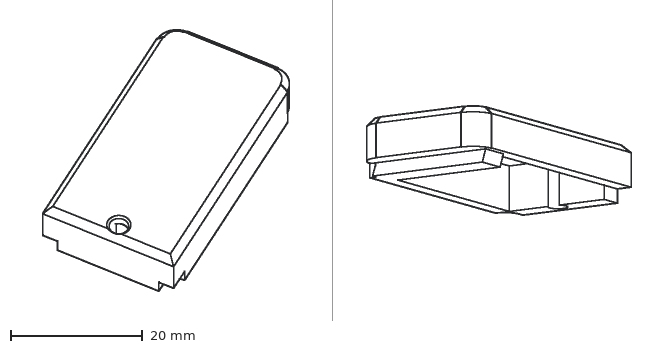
import cadquery as cq

width = 22.4
length = 41.4
height = 8.7

chamfer = 1.15
step_z = 2.2
shell_height = height - step_z
corner_size = 3.45
corner_radius = 3.3
plate_thickness = 1.65

side_margin = 2.53
front_block_length = 3.7
hook_inset = 1.15
hook_front_y = 33.1
hook_rear_y = length - corner_size
hook_lean = 0.9

hole_diameter = 3.0
hole_x = 11.7
hole_y = 2.55
countersink = 0.35


def make_box(x0, x1, y0, y1, z0, z1):
    """Box between two opposite corners."""
    return cq.Workplane("XY").box(x1 - x0, y1 - y0, z1 - z0, centered=False).translate((x0, y0, z0))


def make_shell():
    """Upper block with a chamfered top edge and rounded rear corners."""
    shell = make_box(0, width, 0, length, step_z, height).faces(">Z").edges().chamfer(chamfer)
    round_post = (
        cq.Workplane("XY")
        .circle(corner_radius)
        .extrude(shell_height)
        .faces(">Z")
        .edges()
        .chamfer(chamfer)
    )
    corner_y = length - corner_size
    for corner_x, side_x in ((corner_size, 0), (width - corner_size, width)):
        x0, x1 = sorted((corner_x, side_x))
        corner_square = make_box(x0, x1, corner_y, length, step_z, height)
        corner_round = round_post.translate((corner_x, corner_y, step_z)).intersect(corner_square)
        shell = shell.cut(corner_square).union(corner_round)
    return shell


def make_prism(side_outline, x0, x1):
    """Prism along X between x0 and x1 with a closed outline of (y, z) points."""
    return cq.Workplane("YZ").polyline(side_outline).close().extrude(x1 - x0).translate((x0, 0, 0))


def make_foot():
    """Foot with a leaning rear hook, an inset left side and a hollowed front right corner."""
    foot_outline = [(0, 0), (hook_rear_y + hook_lean, 0), (hook_rear_y, step_z), (0, step_z)]
    foot = make_prism(foot_outline, hook_inset, width - hook_inset)

    right_wall = make_box(width - side_margin, width, 0, hook_rear_y, 0, step_z)
    foot = foot.union(right_wall)

    opening_outline = [(0, 0), (hook_front_y + hook_lean, 0), (hook_front_y, step_z), (0, step_z)]
    left_opening = make_prism(opening_outline, 0, side_margin)

    arc_start_y = front_block_length - side_margin
    straight_notch = make_box(width - side_margin, width, 0, arc_start_y, 0, step_z)
    round_notch = cq.Workplane("XY").center(width, arc_start_y).circle(side_margin).extrude(step_z)
    return foot.cut(left_opening).cut(straight_notch).cut(round_notch)


def make_cavity():
    """Space behind the front block, open downwards, with a leaning rear face below the step."""
    ceiling_z = height - plate_thickness
    cavity_outline = [
        (front_block_length, 0),
        (hook_front_y + hook_lean, 0),
        (hook_front_y, step_z),
        (hook_front_y, ceiling_z),
        (front_block_length, ceiling_z),
    ]
    return make_prism(cavity_outline, side_margin, width - side_margin)


def make_hole():
    """Through hole with a countersunk mouth in the top face."""
    radius = hole_diameter / 2
    return (
        cq.Workplane("XZ")
        .lineTo(radius, 0)
        .lineTo(radius, height - countersink)
        .lineTo(radius + countersink, height)
        .lineTo(0, height)
        .close()
        .revolve(360, (0, 0, 0), (0, 1, 0))
        .translate((hole_x, hole_y, 0))
    )


result = make_shell().union(make_foot()).cut(make_cavity()).cut(make_hole())